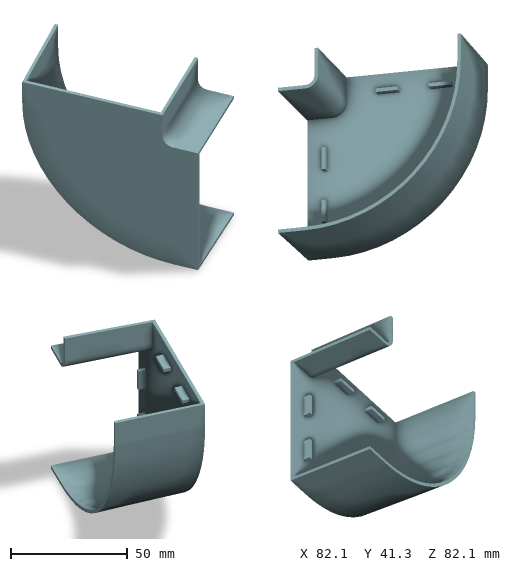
import cadquery as cq
import math

size = 82.1
depth = 41.3
duct_width = 65.8
bend_center = 70.0
wall = 1.6
plate = 1.6
outer_draft = 1.0
inner_draft = 0.7
overrun = 4.1

tab_width = 9.9
tab_height = 3.45
tab_thickness = 1.65
tab_setback = 8.2
tab_starts = (15.9, 39.75)


def elbow_outline(inset, end):
    """Elbow outline on the rim plane, walls moved in by inset and legs ending at end."""
    outer = inset
    inner = duct_width - inset
    diagonal = math.sqrt(0.5)
    outer_mid = bend_center - (bend_center - outer) * diagonal
    inner_mid = bend_center - (bend_center - inner) * diagonal
    return (
        cq.Workplane("XZ", origin=(0, depth, 0))
        .moveTo(outer, end)
        .lineTo(outer, bend_center)
        .threePointArc((outer_mid, outer_mid), (bend_center, outer))
        .lineTo(end, outer)
        .lineTo(end, inner)
        .lineTo(bend_center, inner)
        .threePointArc((inner_mid, inner_mid), (inner, bend_center))
        .lineTo(inner, end)
        .close()
    )


def shell():
    """Drafted elbow, hollowed from the rim and open at both leg ends."""
    body = elbow_outline(0, size).extrude(depth, taper=outer_draft)
    cavity = elbow_outline(wall, size + overrun).extrude(depth - plate, taper=inner_draft)
    return body.cut(cavity)


def tab(x, z, width_x, width_z):
    """Upright tab on the plate with its low-X, low-Z corner at (x, z)."""
    block = cq.Workplane().box(width_x, plate + tab_height, width_z, centered=False)
    return block.translate((x, 0, z))


result = shell()
tab_base = size - tab_setback - tab_thickness
for tab_start in tab_starts:
    result = result.union(tab(tab_start, tab_base, tab_width, tab_thickness))
    result = result.union(tab(tab_base, tab_start, tab_thickness, tab_width))